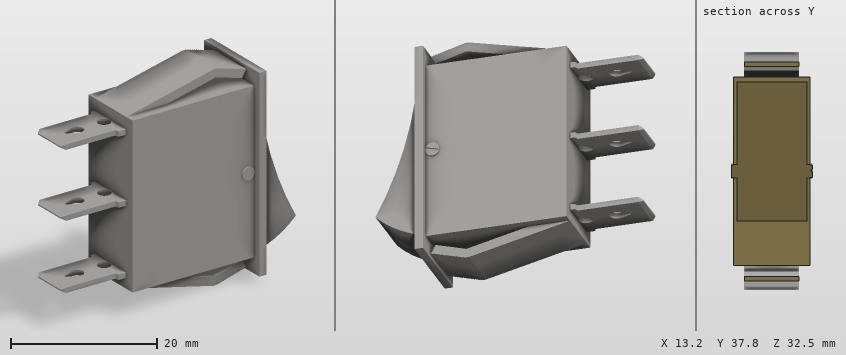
import cadquery as cq
import math


FLANGE_WIDTH = 13.2
FLANGE_HEIGHT = 30.6
FLANGE_THICKNESS = 1.2

BODY_WIDTH = 10.5
BODY_HEIGHT = 25.8
BODY_LENGTH = 20.2
BODY_HALF_HEIGHT = BODY_HEIGHT / 2
BODY_REAR_Y = -BODY_LENGTH

CLIP_WIDTH = 7.5
CLIP_CREST_Z = 16.25
CLIP_INNER_CREST_Z = 14.95
CLIP_INNER_CREST_Y = -5.3
CLIP_INNER_ROOT_Y = -14.2
CLIP_CREST_REAR_Y = -5.65
CLIP_CREST_FRONT_Y = -4.97
CLIP_TIP_Y = -0.23
CLIP_TIP_Z = 14.9
CLIP_INNER_TIP_Y = -0.9
CLIP_INNER_TIP_Z = 13.7

STEP_LENGTH = 0.347
STEP_COUNT = 14
STEP_DROP = (CLIP_CREST_Z - CLIP_TIP_Z) / STEP_COUNT

PIVOT_DIAMETER = 2.0
PIVOT_LENGTH = 11.1
PIVOT_Y = -PIVOT_DIAMETER / 2
PIVOT_SLOT_WIDTH = 0.2
PIVOT_SLOT_DEPTH = 0.2
PIVOT_SLOT_ANGLE = 15.0

ROCKER_WIDTH = 9.5
ROCKER_OFFSET = -0.05
ROCKER_TILT = 16.5
ROCKER_TIP_REACH = 5.58
ROCKER_TIP_HALF_SPAN = 10.78
ROCKER_FACE_RADIUS = 51.6
ROCKER_END_RADIUS = 13.93
ROCKER_BASE_REACH = -1.5
ROCKER_BASE_HALF_SPAN = 12.4

TERMINAL_HEIGHTS = (10.63, 0.0, -10.87)
TERMINAL_OFFSETS = (-0.05, 0.0, -0.05)
TERMINAL_LENGTH = 10.2
TERMINAL_THICKNESS = 0.8
BLADE_WIDTH = 6.3
SHOULDER_WIDTH = 7.5
LEFT_SHOULDER_LENGTHS = (0.7, 0.9)
RIGHT_SHOULDER_LENGTHS = (1.2, 1.45)
BLADE_CORNER = 0.5
BEVEL_LENGTH = 0.6
BEVEL_DEPTH = 0.3
ROUND_HOLE_DIAMETER = 2.0
ROUND_HOLE_DISTANCE = 1.06
DROP_HOLE_DIAMETER = 1.9
DROP_HOLE_DISTANCE = 5.5
DROP_TAIL_RADIUS = 0.3
DROP_TAIL_DISTANCE = 7.3


def extrude_across_x(outline, width):
    """Extrude a YZ outline equally to both sides of X = 0."""
    return outline.extrude(width / 2, both=True)


def arc_sagitta(chord, radius):
    return radius - math.sqrt(radius**2 - (chord / 2) ** 2)


def tilt_rocker(solid):
    """Place a rocker drawn about the origin, facing +Y, at the pivot with its tilt."""
    return solid.rotate((0, 0, 0), (1, 0, 0), ROCKER_TILT).translate((ROCKER_OFFSET, PIVOT_Y, 0))


def rocker_outline():
    """Base and convex ends, left open from the lower tip round to the upper tip."""
    end_chord = math.hypot(
        ROCKER_TIP_REACH - ROCKER_BASE_REACH, ROCKER_BASE_HALF_SPAN - ROCKER_TIP_HALF_SPAN
    )
    end_sagitta = arc_sagitta(end_chord, ROCKER_END_RADIUS)
    return (
        cq.Workplane("YZ")
        .moveTo(ROCKER_TIP_REACH, -ROCKER_TIP_HALF_SPAN)
        .sagittaArc((ROCKER_BASE_REACH, -ROCKER_BASE_HALF_SPAN), end_sagitta)
        .lineTo(ROCKER_BASE_REACH, ROCKER_BASE_HALF_SPAN)
        .sagittaArc((ROCKER_TIP_REACH, ROCKER_TIP_HALF_SPAN), end_sagitta)
    )


def pivot_pin():
    outline = cq.Workplane("YZ").center(PIVOT_Y, 0).circle(PIVOT_DIAMETER / 2)
    return extrude_across_x(outline, PIVOT_LENGTH).translate((ROCKER_OFFSET, 0, 0))


def pivot_slot():
    """Narrow slot across the -X end of the pivot."""
    return (
        cq.Workplane("XY")
        .box(2 * PIVOT_SLOT_DEPTH, 2 * PIVOT_DIAMETER, PIVOT_SLOT_WIDTH)
        .rotate((0, 0, 0), (1, 0, 0), PIVOT_SLOT_ANGLE)
        .translate((ROCKER_OFFSET - PIVOT_LENGTH / 2, PIVOT_Y, 0))
    )


def make_rocker():
    face_sagitta = arc_sagitta(2 * ROCKER_TIP_HALF_SPAN, ROCKER_FACE_RADIUS)
    outline = (
        rocker_outline()
        .threePointArc(
            (ROCKER_TIP_REACH - face_sagitta, 0), (ROCKER_TIP_REACH, -ROCKER_TIP_HALF_SPAN)
        )
        .close()
    )
    paddle = tilt_rocker(extrude_across_x(outline, ROCKER_WIDTH))
    return paddle.union(pivot_pin()).cut(pivot_slot())


def make_clip():
    """Upper snap-in clip: a bent arm with grip steps along its free end."""
    outline = (
        cq.Workplane("YZ")
        .moveTo(BODY_REAR_Y, BODY_HALF_HEIGHT)
        .lineTo(CLIP_CREST_REAR_Y, CLIP_CREST_Z)
    )
    for step in range(STEP_COUNT):
        riser_y = CLIP_CREST_FRONT_Y + step * STEP_LENGTH
        riser_top_z = CLIP_CREST_Z - step * STEP_DROP
        outline = outline.lineTo(riser_y, riser_top_z).lineTo(riser_y, riser_top_z - STEP_DROP)
    outline = (
        outline.lineTo(CLIP_TIP_Y, CLIP_TIP_Z)
        .lineTo(CLIP_INNER_TIP_Y, CLIP_INNER_TIP_Z)
        .lineTo(CLIP_INNER_CREST_Y, CLIP_INNER_CREST_Z)
        .lineTo(CLIP_INNER_ROOT_Y, BODY_HALF_HEIGHT)
        .close()
    )
    return extrude_across_x(outline, CLIP_WIDTH)


def make_housing():
    flange = cq.Workplane("XZ").rect(FLANGE_WIDTH, FLANGE_HEIGHT).extrude(-FLANGE_THICKNESS)
    body = cq.Workplane("XZ").rect(BODY_WIDTH, BODY_HEIGHT).extrude(BODY_LENGTH)
    clip = make_clip()
    pocket = tilt_rocker(extrude_across_x(rocker_outline().close(), ROCKER_WIDTH))
    return (
        flange.union(body)
        .union(clip)
        .union(clip.mirror("XY"))
        .cut(pocket)
        .cut(pivot_pin())
    )


def drop_hole_outline():
    """Teardrop: a circle and a smaller tail circle joined by their common tangents."""
    radius = DROP_HOLE_DIAMETER / 2
    head_y = BODY_REAR_Y - DROP_HOLE_DISTANCE
    tail_y = BODY_REAR_Y - DROP_TAIL_DISTANCE
    sine = (radius - DROP_TAIL_RADIUS) / (head_y - tail_y)
    cosine = math.sqrt(1 - sine**2)
    head_x = radius * cosine
    head_tangent_y = head_y - radius * sine
    tail_x = DROP_TAIL_RADIUS * cosine
    tail_tangent_y = tail_y - DROP_TAIL_RADIUS * sine
    return (
        cq.Workplane("XY")
        .moveTo(-head_x, head_tangent_y)
        .threePointArc((0, head_y + radius), (head_x, head_tangent_y))
        .lineTo(tail_x, tail_tangent_y)
        .threePointArc((0, tail_y - DROP_TAIL_RADIUS), (-tail_x, tail_tangent_y))
        .close()
    )


def blade_outline():
    tip_y = BODY_REAR_Y - TERMINAL_LENGTH
    half_shoulder = SHOULDER_WIDTH / 2
    half_blade = BLADE_WIDTH / 2
    left_edge, left_root = LEFT_SHOULDER_LENGTHS
    right_edge, right_root = RIGHT_SHOULDER_LENGTHS
    return (
        cq.Workplane("XY")
        .moveTo(-half_shoulder, BODY_REAR_Y)
        .lineTo(-half_shoulder, BODY_REAR_Y - left_edge)
        .lineTo(-half_blade, BODY_REAR_Y - left_root)
        .lineTo(-half_blade, tip_y + BLADE_CORNER)
        .lineTo(-half_blade + BLADE_CORNER, tip_y)
        .lineTo(half_blade - BLADE_CORNER, tip_y)
        .lineTo(half_blade, tip_y + BLADE_CORNER)
        .lineTo(half_blade, BODY_REAR_Y - right_root)
        .lineTo(half_shoulder, BODY_REAR_Y - right_edge)
        .lineTo(half_shoulder, BODY_REAR_Y)
        .close()
    )


def side_outline():
    """Terminal seen along X, with the tip bevelled on both faces."""
    tip_y = BODY_REAR_Y - TERMINAL_LENGTH
    half = TERMINAL_THICKNESS / 2
    return (
        cq.Workplane("YZ")
        .moveTo(BODY_REAR_Y, half)
        .lineTo(tip_y + BEVEL_LENGTH, half)
        .lineTo(tip_y, half - BEVEL_DEPTH)
        .lineTo(tip_y, BEVEL_DEPTH - half)
        .lineTo(tip_y + BEVEL_LENGTH, -half)
        .lineTo(BODY_REAR_Y, -half)
        .close()
    )


def make_terminal(offset_x, centre_z):
    half = TERMINAL_THICKNESS / 2
    round_hole = (
        cq.Workplane("XY")
        .center(0, BODY_REAR_Y - ROUND_HOLE_DISTANCE)
        .circle(ROUND_HOLE_DIAMETER / 2)
    )
    return (
        blade_outline()
        .extrude(half, both=True)
        .intersect(extrude_across_x(side_outline(), SHOULDER_WIDTH))
        .cut(round_hole.extrude(half, both=True))
        .cut(drop_hole_outline().extrude(half, both=True))
        .translate((offset_x, 0, centre_z))
    )


housing = make_housing()
rocker = make_rocker()
terminals = [make_terminal(x, z) for x, z in zip(TERMINAL_OFFSETS, TERMINAL_HEIGHTS)]

result = cq.Compound.makeCompound(
    [housing.val(), rocker.val(), *[terminal.val() for terminal in terminals]]
)